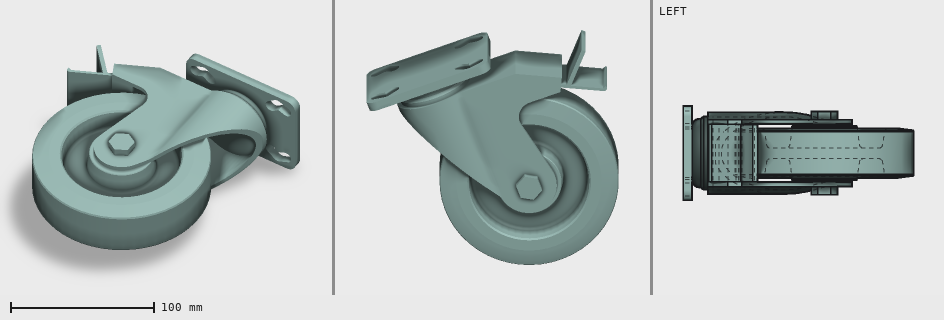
import cadquery as cq
import math


wheel_radius = 62.5
tread_half_width = 14.8
shoulder_radius = 61.8
shoulder_half_width = 16.0
side_radius = 50.7
side_half_width = 17.4
rim_edge_radius = 43.1
rim_edge_chamfer = 1.1
rim_wall_base_radius = 40.4
rim_fillet = 2.4
web_half_thickness = 3.7
hub_half_width = 19.0
hub_top_radius = 22.7
hub_edge_chamfer = 0.5
hub_wall_base_radius = 24.3
hub_fillet = 2.5

swivel_x = 39.6
plate_top = 98.5
plate_thickness = 6.3
plate_length = 90.0
plate_width = 66.0
plate_corner_radius = 7.1
slot_width = 8.4
slot_outer = (37.5, 22.5)
slot_bend = (30.5, 25.5)
slot_inner = (24.8, 21.1)
collar_radius = 51.2 / 2
collar_height = 3.0
collar_cone_height = 2.0
dome_base_radius = 24.0
dome_top_radius = 19.6
dome_bulge = 1.5

fork_top = 81.1
sheet = 3.2
fork_half_width = 23.3
barrel_radius = 28.7
bend_radius = 8.0
leg_radius = 19.3
leg_rear_tilt = 12.3
leg_front_tilt = 30.5
front_lip = (67.5, 76.2)
throat_radius = 11.6
arm_tilt = 25.3
arm_top_x = -19.6
arm_length = 32.5
arm_end_height = 10.6
arm_block_front = -28.3

head_height = 5.8
head_across_corners = 18.4
spacer_radius = 16.3 / 2

lever_half_width = 20.0
stub_offset = 2.1
stub_length = 6.5
stub_thickness = 2.4
pedal_thickness = 2.0
pedal_length = 30.3
hook_radius = 2.0
hook_lip = 2.1
release_length = 29.5
release_thickness = 3.0
release_tilt = 132.0

plate_bottom = plate_top - plate_thickness
arm_direction = cq.Vector(-math.cos(math.radians(arm_tilt)), -math.sin(math.radians(arm_tilt)))
arm_down = cq.Vector(math.sin(math.radians(arm_tilt)), -math.cos(math.radians(arm_tilt)))
arm_end_top = cq.Vector(arm_top_x, fork_top) + arm_direction * arm_length
arm_end_bottom = arm_end_top + arm_down * arm_end_height


def on_circle(radius, degrees):
    angle = math.radians(degrees)
    return (radius * math.cos(angle), radius * math.sin(angle))


def extrude_symmetric(sketch, half_width):
    return sketch.extrude(half_width, both=True)


def make_wheel():
    diagonal = math.sqrt(0.5)
    hub_fillet_centre = (hub_wall_base_radius + hub_fillet, web_half_thickness + hub_fillet)
    rim_fillet_centre = (rim_wall_base_radius - rim_fillet, web_half_thickness + rim_fillet)
    outside = (
        cq.Workplane("XZ")
        .moveTo(0, hub_half_width)
        .lineTo(hub_top_radius - hub_edge_chamfer, hub_half_width)
        .lineTo(hub_top_radius, hub_half_width - hub_edge_chamfer)
        .lineTo(hub_wall_base_radius, hub_fillet_centre[1])
        .threePointArc(
            (hub_fillet_centre[0] - hub_fillet * diagonal, hub_fillet_centre[1] - hub_fillet * diagonal),
            (hub_fillet_centre[0], web_half_thickness),
        )
        .lineTo(rim_fillet_centre[0], web_half_thickness)
        .threePointArc(
            (rim_fillet_centre[0] + rim_fillet * diagonal, rim_fillet_centre[1] - rim_fillet * diagonal),
            (rim_wall_base_radius, rim_fillet_centre[1]),
        )
        .lineTo(rim_edge_radius - rim_edge_chamfer, side_half_width - rim_edge_chamfer)
        .lineTo(rim_edge_radius, side_half_width)
        .lineTo(side_radius, side_half_width)
        .lineTo(shoulder_radius, shoulder_half_width)
        .lineTo(wheel_radius, tread_half_width)
        .lineTo(wheel_radius, 2 * hub_half_width)
        .lineTo(0, 2 * hub_half_width)
        .close()
        .revolve(360, (0, 0), (0, 1))
    )
    disc = extrude_symmetric(cq.Workplane("XY").circle(wheel_radius), hub_half_width)
    return disc.cut(outside).cut(outside.mirror("XY"))


def make_axle():
    head_top = fork_half_width + head_height
    spacers = extrude_symmetric(cq.Workplane("XY").circle(spacer_radius), fork_half_width)
    heads = extrude_symmetric(
        cq.Workplane("XY").transformed(rotate=(0, 0, 90)).polygon(6, head_across_corners), head_top
    )
    gap = extrude_symmetric(cq.Workplane("XY").circle(head_across_corners), fork_half_width)
    return heads.cut(gap).union(spacers)


def fork_outline():
    """Side outline of the fork, with both leg edges tangent to the round leg end."""
    tilt = math.radians(leg_rear_tilt)
    throat_y = arm_end_bottom.y - throat_radius
    throat_x = (throat_y * math.sin(tilt) - leg_radius - throat_radius) / math.cos(tilt)
    throat_end = on_circle(throat_radius, -leg_rear_tilt)
    throat_middle = on_circle(throat_radius, (90 - leg_rear_tilt) / 2)
    return (
        cq.Workplane("XY")
        .moveTo(arm_top_x, fork_top)
        .lineTo(arm_end_top.x, arm_end_top.y)
        .lineTo(arm_end_bottom.x, arm_end_bottom.y)
        .lineTo(throat_x, arm_end_bottom.y)
        .threePointArc(
            (throat_x + throat_middle[0], throat_y + throat_middle[1]),
            (throat_x + throat_end[0], throat_y + throat_end[1]),
        )
        .lineTo(*on_circle(leg_radius, 180 - leg_rear_tilt))
        .threePointArc((0, -leg_radius), on_circle(leg_radius, -leg_front_tilt))
        .lineTo(*front_lip)
        .lineTo(swivel_x + barrel_radius, front_lip[1])
        .lineTo(swivel_x + barrel_radius, fork_top)
        .close()
    )


def fork_section(rear_x, inset):
    """Keyhole section across Y: two flat cheeks blended into a round barrel at the front."""
    cheek = fork_half_width - inset
    barrel = barrel_radius - inset
    bend = bend_radius + inset
    bend_z = cheek + bend
    reach = math.sqrt((barrel + bend) ** 2 - bend_z**2)
    bend_x = swivel_x - reach
    share = bend / (barrel + bend)
    join_x = bend_x + reach * share
    join_z = bend_z * (1 - share)
    half_angle = math.degrees(math.atan2(reach, bend_z)) / 2
    middle = on_circle(bend, -90 + half_angle)
    return (
        cq.Workplane("XZ", origin=(0, fork_top, 0))
        .moveTo(rear_x, -cheek)
        .lineTo(bend_x, -cheek)
        .threePointArc((bend_x + middle[0], -bend_z - middle[1]), (join_x, -join_z))
        .threePointArc((swivel_x + barrel, 0), (join_x, join_z))
        .threePointArc((bend_x + middle[0], bend_z + middle[1]), (bend_x, cheek))
        .lineTo(rear_x, cheek)
        .close()
        .extrude(fork_top + leg_radius)
    )


def make_fork():
    solid = extrude_symmetric(fork_outline(), barrel_radius)
    outer = fork_section(arm_end_top.x, 0)
    roof_y = fork_top - sheet
    roof_bend_x = arm_top_x + sheet * math.tan(math.radians(arm_tilt / 2))
    roof_drop = (roof_bend_x - arm_block_front) * math.tan(math.radians(arm_tilt))
    under_roof = (
        cq.Workplane("XY")
        .moveTo(arm_block_front, -leg_radius)
        .lineTo(arm_block_front, roof_y - roof_drop)
        .lineTo(roof_bend_x, roof_y)
        .lineTo(swivel_x + barrel_radius, roof_y)
        .lineTo(swivel_x + barrel_radius, -leg_radius)
        .close()
    )
    cavity = fork_section(arm_block_front, sheet).intersect(
        extrude_symmetric(under_roof, barrel_radius)
    )
    return solid.intersect(outer).cut(cavity)


def make_swivel_head():
    cone_bottom = fork_top + collar_height
    dome_bottom = cone_bottom + collar_cone_height
    dome_middle = (
        (dome_base_radius + dome_top_radius) / 2 + dome_bulge * math.sqrt(0.5),
        (dome_bottom + plate_bottom) / 2 + dome_bulge * math.sqrt(0.5),
    )
    return (
        cq.Workplane("XY")
        .moveTo(0, fork_top - sheet)
        .lineTo(dome_base_radius, fork_top - sheet)
        .lineTo(dome_base_radius, fork_top)
        .lineTo(collar_radius, fork_top)
        .lineTo(collar_radius, cone_bottom)
        .lineTo(dome_base_radius, dome_bottom)
        .threePointArc(dome_middle, (dome_top_radius, plate_bottom))
        .lineTo(0, plate_bottom)
        .close()
        .revolve(360, (0, 0), (0, 1))
        .translate((swivel_x, 0, 0))
    )


def slot_arm(plane, start, end):
    dx = end[0] - start[0]
    dz = end[1] - start[1]
    return (
        plane.center((start[0] + end[0]) / 2, (start[1] + end[1]) / 2)
        .slot2D(math.hypot(dx, dz) + slot_width, slot_width, math.degrees(math.atan2(dz, dx)))
        .extrude(plate_thickness)
    )


def make_plate():
    plane = cq.Workplane("XZ", origin=(swivel_x, plate_top, 0))
    plate = plane.rect(plate_length, plate_width).extrude(plate_thickness)
    plate = plate.edges("|Y").fillet(plate_corner_radius)
    for side_x in (-1, 1):
        for side_z in (-1, 1):
            outer, bend, inner = (
                (side_x * x, side_z * z) for x, z in (slot_outer, slot_bend, slot_inner)
            )
            plate = plate.cut(slot_arm(plane, bend, outer)).cut(slot_arm(plane, bend, inner))
    return plate


def make_lever():
    """Pedal with a curled tip and a release tab, in a frame running outward along the arm."""
    frame = cq.Workplane(
        cq.Plane(
            origin=(arm_end_bottom.x, arm_end_bottom.y, 0),
            xDir=(arm_direction.x, arm_direction.y, 0),
            normal=(0, 0, -1),
        )
    )
    under = stub_offset
    hook_y = under + hook_radius
    pedal = (
        frame.moveTo(0, under)
        .lineTo(pedal_length, under)
        .threePointArc(
            (pedal_length + hook_radius, hook_y), (pedal_length + hook_radius / 2, hook_y + hook_lip)
        )
        .lineTo(pedal_length - hook_radius / 2, under + pedal_thickness)
        .lineTo(stub_length, under + pedal_thickness)
        .lineTo(stub_length, under + stub_thickness)
        .lineTo(0, under + stub_thickness)
        .close()
    )
    tab = (
        cq.Workplane("XY")
        .center(release_length / 2, -release_thickness / 2)
        .rect(release_length, release_thickness)
    )
    tab = extrude_symmetric(tab, lever_half_width).rotate((0, 0, 0), (0, 0, 1), release_tilt)
    root = arm_end_bottom + arm_direction * stub_length - arm_down * under
    return extrude_symmetric(pedal, lever_half_width).union(tab.translate((root.x, root.y, 0)))


result = (
    make_wheel()
    .union(make_axle())
    .union(make_fork())
    .union(make_swivel_head())
    .union(make_plate())
    .union(make_lever())
)